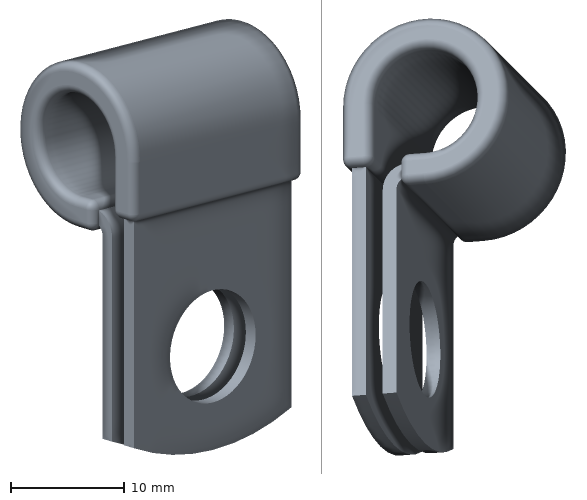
import cadquery as cq
import math


overall_height = 36.15
loop_diameter = 15.15
bore_diameter = 9.47
cushion_width = 20.65
strap_thickness = 1.25

long_leg = 5.6
short_leg = 2.25

bent_tab_outer_x = 3.98
bend_inner_radius = 1.05

hole_diameter = 10.35
hole_to_tip = 9.55
tab_tip_radius = 23.13

outer_radius = loop_diameter / 2
bore_radius = bore_diameter / 2
cushion_thickness = (outer_radius - bore_radius - strap_thickness) / 2
strap_width = cushion_width - 2 * cushion_thickness
strap_inner_radius = bore_radius + cushion_thickness
strap_outer_radius = strap_inner_radius + strap_thickness
bend_outer_radius = bend_inner_radius + strap_thickness
bend_x = bent_tab_outer_x - bend_outer_radius
bend_z = -strap_inner_radius - bend_outer_radius
tip_z = outer_radius - overall_height
diagonal = math.sqrt(0.5)


def extrude_centered(profile, width):
    return profile.extrude(width / 2, both=True)


def make_cushion():
    """Three-quarter loop with two straight legs, rounded all over."""
    profile = (
        cq.Workplane("XZ")
        .moveTo(outer_radius, -long_leg)
        .lineTo(outer_radius, 0)
        .threePointArc((-outer_radius * diagonal, outer_radius * diagonal), (0, -outer_radius))
        .lineTo(short_leg, -outer_radius)
        .lineTo(short_leg, -bore_radius)
        .lineTo(0, -bore_radius)
        .threePointArc((-bore_radius * diagonal, bore_radius * diagonal), (bore_radius, 0))
        .lineTo(bore_radius, -long_leg)
        .close()
    )
    cushion = extrude_centered(profile, cushion_width)
    wall_center = (outer_radius + bore_radius) / 2
    long_leg_tip = cq.selectors.NearestToPointSelector((wall_center, 0, -long_leg))
    short_leg_tip = cq.selectors.NearestToPointSelector((short_leg, 0, -wall_center))
    leg_corners = cushion.faces(long_leg_tip).edges("|Y").add(cushion.faces(short_leg_tip).edges("|Y"))
    end_outlines = cushion.faces("<Y or >Y").edges()
    return leg_corners.add(end_outlines).fillet(cushion_thickness)


def make_strap():
    """Metal strip: straight tab, loop, and a second tab bent downward."""
    bend_outer = (bend_x + bend_outer_radius * diagonal, bend_z + bend_outer_radius * diagonal)
    bend_inner = (bend_x + bend_inner_radius * diagonal, bend_z + bend_inner_radius * diagonal)
    profile = (
        cq.Workplane("XZ")
        .moveTo(strap_outer_radius, tip_z)
        .lineTo(strap_outer_radius, 0)
        .threePointArc(
            (-strap_outer_radius * diagonal, strap_outer_radius * diagonal), (0, -strap_outer_radius))
        .lineTo(bend_x, -strap_outer_radius)
        .threePointArc(bend_inner, (bend_x + bend_inner_radius, bend_z))
        .lineTo(bend_x + bend_inner_radius, tip_z)
        .lineTo(bent_tab_outer_x, tip_z)
        .lineTo(bent_tab_outer_x, bend_z)
        .threePointArc(bend_outer, (bend_x, -strap_inner_radius))
        .lineTo(0, -strap_inner_radius)
        .threePointArc(
            (-strap_inner_radius * diagonal, strap_inner_radius * diagonal), (strap_inner_radius, 0))
        .lineTo(strap_inner_radius, tip_z)
        .close()
    )
    return extrude_centered(profile, strap_width)


def make_tab_outline():
    """Envelope along X that rounds the tab tips and leaves the bolt hole open."""
    half_width = strap_width / 2
    corner_z = tip_z + tab_tip_radius - math.sqrt(tab_tip_radius**2 - half_width**2)
    outline = (
        cq.Workplane("YZ")
        .moveTo(-half_width, outer_radius)
        .lineTo(-half_width, corner_z)
        .threePointArc((0, tip_z), (half_width, corner_z))
        .lineTo(half_width, outer_radius)
        .close()
    )
    bolt_hole = cq.Workplane("YZ").center(0, tip_z + hole_to_tip).circle(hole_diameter / 2)
    return extrude_centered(outline, 2 * loop_diameter).cut(
        extrude_centered(bolt_hole, 2 * loop_diameter))


strap = make_strap().intersect(make_tab_outline())
result = make_cushion().union(strap)